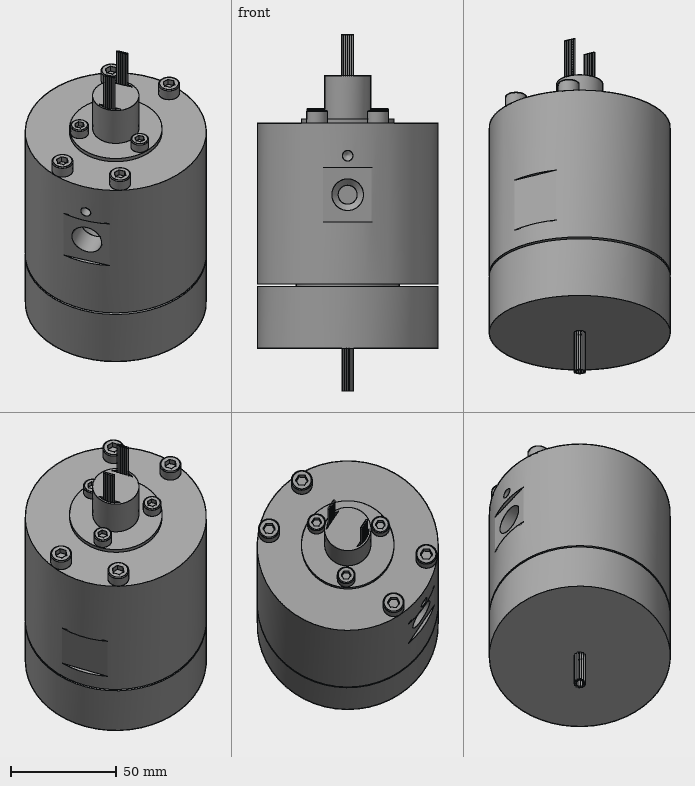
import cadquery as cq
import math

HOUSING_DIAMETER = 86.0
BASE_HEIGHT = 29.5
NECK_DIAMETER = 49.0
NECK_HEIGHT = 1.0
BODY_HEIGHT = 76.5
BODY_BOTTOM = BASE_HEIGHT + NECK_HEIGHT
BODY_TOP = BODY_BOTTOM + BODY_HEIGHT

FLANGE_DIAMETER = 44.0
FLANGE_THICKNESS = 2.0
FLANGE_TOP = BODY_TOP + FLANGE_THICKNESS
BOSS_DIAMETER = 22.0
BOSS_TOP = BODY_TOP + 22.5

LEAD_POCKET_DIAMETER = 20.0
LEAD_POCKET_FLAT = 8.5
LEAD_POCKET_DEPTH = 5.0

LEAD_DIAMETER = 1.0
LEAD_PITCH = 0.93
LEADS_PER_ROW = 6
LEAD_ROW_OFFSET = 9.15
TOP_LEAD_LENGTH = 19.5
BOTTOM_LEAD_LENGTH = 20.2
LEAD_BUNDLE_DIAMETER = 5.6
BUNDLE_LEAD_COUNT = 12
LEAD_EMBED = 1.0

PORT_FACE_WIDTH = 23.0
PORT_FACE_HEIGHT = 26.0
PORT_FACE_OFFSET = math.sqrt((HOUSING_DIAMETER / 2) ** 2 - (PORT_FACE_WIDTH / 2) ** 2)
FRONT_PORT_Z = BODY_TOP - 34.0
BACK_PORT_Z = BODY_TOP - 54.0

PORT_DIAMETER = 15.0
PORT_STRAIGHT_DEPTH = 12.0
PORT_FLOOR_DIAMETER = 9.0
PORT_CONE_DEPTH = 3.0
DRILLED_HOLE_DIAMETER = 5.0
DRILLED_HOLE_STRAIGHT_DEPTH = 5.0
DRILLED_HOLE_CONE_DEPTH = 1.5
DRILLED_HOLE_Z = BODY_TOP - 15.5

SCREW_CHAMFER = 0.5
BODY_SCREW_CIRCLE_RADIUS = 37.9
BODY_SCREW_ANGLES = (67.5, 112.5, 247.5, 292.5)
BODY_SCREW_HEAD_DIAMETER = 10.0
BODY_SCREW_HEAD_HEIGHT = 6.0
BODY_SCREW_HEX = 5.0
BODY_SCREW_HEX_DEPTH = 3.0
FLANGE_SCREW_CIRCLE_RADIUS = 17.5
FLANGE_SCREW_ANGLES = (90.0, 210.0, 330.0)
FLANGE_SCREW_HEAD_DIAMETER = 8.5
FLANGE_SCREW_HEAD_HEIGHT = 5.0
FLANGE_SCREW_HEX = 4.0
FLANGE_SCREW_HEX_DEPTH = 2.5


def disc(diameter, bottom, top):
    """Vertical cylinder on the Z axis."""
    return cq.Workplane("XY").workplane(offset=bottom).circle(diameter / 2).extrude(top - bottom)


def housing():
    """Base, neck, body, flange and boss stacked along Z."""
    solid = disc(HOUSING_DIAMETER, 0, BASE_HEIGHT)
    solid = solid.union(disc(NECK_DIAMETER, 0, BODY_TOP))
    solid = solid.union(disc(HOUSING_DIAMETER, BODY_BOTTOM, BODY_TOP))
    solid = solid.union(disc(FLANGE_DIAMETER, BODY_TOP, FLANGE_TOP))
    return solid.union(disc(BOSS_DIAMETER, BODY_TOP, BOSS_TOP))


def port_face(side, center_z):
    """Block that mills a flat into the body; side is -1 for -Y and +1 for +Y."""
    depth = HOUSING_DIAMETER / 2
    center_y = side * (PORT_FACE_OFFSET + depth / 2)
    block = cq.Workplane("XY").box(PORT_FACE_WIDTH, depth, PORT_FACE_HEIGHT)
    return block.translate((0, center_y, center_z))


def front_hole(diameter, straight_depth, floor_diameter, cone_depth, mouth_y, center_z):
    """Cutter for a hole along +Y: a straight bore from mouth_y, then a cone down to the floor."""
    inward = cq.Vector(0, 1, 0)
    mouth = cq.Vector(0, mouth_y, center_z)
    cone_start = mouth + inward * straight_depth
    bore = cq.Solid.makeCylinder(diameter / 2, straight_depth, mouth, inward)
    cone = cq.Solid.makeCone(diameter / 2, floor_diameter / 2, cone_depth, cone_start, inward)
    return cq.Workplane(obj=bore).union(cq.Workplane(obj=cone))


def lead_pockets():
    """Cutter for the pockets left between the round bore and the flat-sided core."""
    pocket = disc(LEAD_POCKET_DIAMETER, BOSS_TOP - LEAD_POCKET_DEPTH, BOSS_TOP)
    core_center = (0, 0, BOSS_TOP - LEAD_POCKET_DEPTH / 2)
    core = cq.Workplane("XY").box(BOSS_DIAMETER, 2 * LEAD_POCKET_FLAT, 2 * LEAD_POCKET_DEPTH)
    core = core.translate(core_center)
    return pocket.cut(core)


def socket_screws(circle_radius, angles, seat_z, diameter, height, hex_size, hex_depth):
    """List of screw heads on a bolt circle, each with a chamfered rim and a hexagon socket."""
    hex_corner_diameter = hex_size / math.cos(math.pi / 6)
    head = cq.Workplane("XY").circle(diameter / 2).extrude(height)
    head = head.faces(">Z").chamfer(SCREW_CHAMFER)
    head = head.faces(">Z").workplane().polygon(6, hex_corner_diameter).cutBlind(-hex_depth)
    screws = []
    for angle in angles:
        x = circle_radius * math.cos(math.radians(angle))
        y = circle_radius * math.sin(math.radians(angle))
        screws.append(head.translate((x, y, seat_z)))
    return screws


def leads(points, bottom, top):
    """List of vertical round leads, one at each point."""
    return [disc(LEAD_DIAMETER, bottom, top).translate((x, y, 0)) for x, y in points]


def top_leads():
    """Two rows of leads that rise from the floors of the lead pockets."""
    first_x = -LEAD_PITCH * (LEADS_PER_ROW - 1) / 2
    points = []
    for side in (-1, 1):
        for i in range(LEADS_PER_ROW):
            points.append((first_x + i * LEAD_PITCH, side * LEAD_ROW_OFFSET))
    bottom = BOSS_TOP - LEAD_POCKET_DEPTH - LEAD_EMBED
    return leads(points, bottom, BOSS_TOP + TOP_LEAD_LENGTH)


def bottom_leads():
    """Ring of leads that hangs below the base."""
    radius = (LEAD_BUNDLE_DIAMETER - LEAD_DIAMETER) / 2
    points = []
    for i in range(BUNDLE_LEAD_COUNT):
        angle = 2 * math.pi * i / BUNDLE_LEAD_COUNT
        points.append((radius * math.cos(angle), radius * math.sin(angle)))
    return leads(points, -BOTTOM_LEAD_LENGTH, LEAD_EMBED)


result = housing()
result = result.cut(port_face(-1, FRONT_PORT_Z))
result = result.cut(port_face(1, BACK_PORT_Z))

port_bore = front_hole(
    PORT_DIAMETER,
    PORT_STRAIGHT_DEPTH,
    PORT_FLOOR_DIAMETER,
    PORT_CONE_DEPTH,
    -PORT_FACE_OFFSET,
    FRONT_PORT_Z,
)
drilled_hole = front_hole(
    DRILLED_HOLE_DIAMETER,
    DRILLED_HOLE_STRAIGHT_DEPTH,
    0,
    DRILLED_HOLE_CONE_DEPTH,
    -HOUSING_DIAMETER / 2,
    DRILLED_HOLE_Z,
)
result = result.cut(port_bore).cut(drilled_hole)
result = result.cut(lead_pockets())

body_screws = socket_screws(
    BODY_SCREW_CIRCLE_RADIUS,
    BODY_SCREW_ANGLES,
    BODY_TOP,
    BODY_SCREW_HEAD_DIAMETER,
    BODY_SCREW_HEAD_HEIGHT,
    BODY_SCREW_HEX,
    BODY_SCREW_HEX_DEPTH,
)
flange_screws = socket_screws(
    FLANGE_SCREW_CIRCLE_RADIUS,
    FLANGE_SCREW_ANGLES,
    FLANGE_TOP,
    FLANGE_SCREW_HEAD_DIAMETER,
    FLANGE_SCREW_HEAD_HEIGHT,
    FLANGE_SCREW_HEX,
    FLANGE_SCREW_HEX_DEPTH,
)
for attachment in body_screws + flange_screws + top_leads() + bottom_leads():
    result = result.union(attachment)